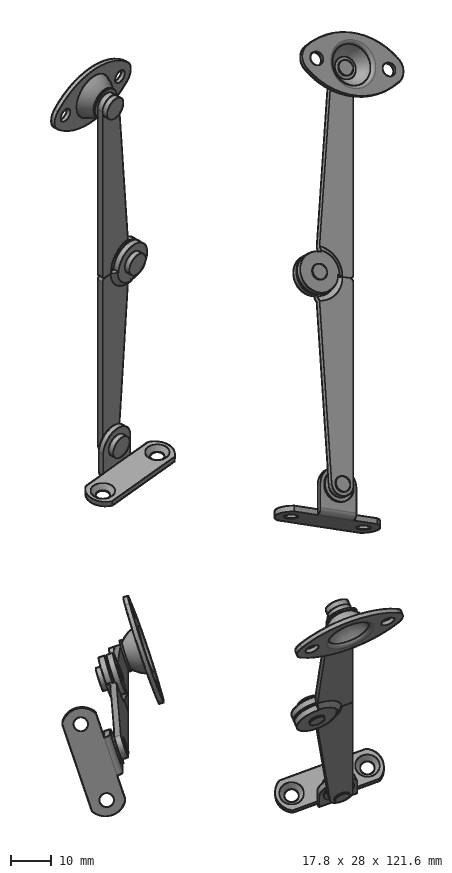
import cadquery as cq
import math


pivot_pitch = 53.0
bottom_pivot_z = 7.6
knuckle_z = bottom_pivot_z + pivot_pitch
top_pivot_z = knuckle_z + pivot_pitch
knuckle_y = 7.0

rivet_radius = 2.0
rivet_tip = 0.4
rivet_head_radius = 3.0
rivet_head_thickness = 1.5
washer_radius = 4.0
washer_thickness = 0.5

plate_thickness = 1.2
plate_half_height = 8.0
plate_end_radius = 4.0
plate_hole_radius = 1.75
screw_offset = 10.0
bowl_depth = 5.0
bowl_rim_radius = 6.0
bowl_floor_radius = 3.5
bowl_hollow_floor_radius = 2.9
bowl_bulge = 0.3
bowl_wall = 1.0
bowl_floor_x = bowl_depth - bowl_wall
bowl_mouth_radius = 6.2
bowl_entry_radius = 0.9

arm_thickness = 1.6
arm_end_radius = 3.0
arm_knuckle_edge_y = 6.85
arm_corner_radius = 0.9
lug_radius = 5.25
lug_flat_radius = 5.6
joggle_radius = 7.0

bracket_thickness = 1.5
bracket_leg_radius = 5.0
flange_end_x = 17.8
flange_half_length = 14.0
flange_end_radius = 5.0
flange_hole_radius = 1.75
countersink_radius = 3.0
countersink_angle = 90

arm_x = bowl_depth + washer_thickness
arm_far_x = arm_x + arm_thickness
bracket_x = arm_far_x + washer_thickness
bracket_far_x = bracket_x + bracket_thickness
joggle_offset = (arm_thickness + washer_thickness) / 2
left_lug_x = arm_x - joggle_offset
right_lug_x = arm_x + joggle_offset


def disc(radius, x_start, x_end, y, z):
    """Cylinder along X between two X positions."""
    return cq.Workplane("YZ", origin=(x_start, y, z)).circle(radius).extrude(x_end - x_start)


def make_washer(x_start, y, z):
    """Flat ring around a rivet shank."""
    washer = disc(washer_radius, x_start, x_start + washer_thickness, y, z)
    return washer.cut(disc(rivet_radius, x_start, x_start + washer_thickness, y, z))


def make_rivet(grip_start, grip_end, y, z):
    """Shank with a short tip on the -X side and a head on the +X side of the grip."""
    shank = disc(rivet_radius, grip_start - rivet_tip, grip_end, y, z)
    head = disc(rivet_head_radius, grip_end, grip_end + rivet_head_thickness, y, z)
    return shank.union(head)


def revolve_about_pivot(profile, y, z):
    """Revolve an (x, radius) profile about the X axis and move it to a pivot."""
    return profile.close().revolve(360, (0, 0, 0), (1, 0, 0)).translate((0, y, z))


def bowl_wall_middle(rim, floor):
    """Middle point of the slightly bulging wall between rim and floor."""
    return ((rim[0] + floor[0] + bowl_bulge) / 2, (rim[1] + floor[1]) / 2 + bowl_bulge)


def make_bowl():
    """Solid bowl standing on the +X side of the oval plate."""
    rim = (plate_thickness, bowl_rim_radius)
    floor = (bowl_depth, bowl_floor_radius)
    profile = (
        cq.Workplane("XY").lineTo(0, bowl_rim_radius).lineTo(*rim)
        .threePointArc(bowl_wall_middle(rim, floor), floor).lineTo(bowl_depth, 0)
    )
    return revolve_about_pivot(profile, 0, top_pivot_z)


def make_bowl_hollow():
    """Space inside the bowl, with a rounded entry at the plate face."""
    rim = (bowl_entry_radius, bowl_mouth_radius - bowl_entry_radius)
    floor = (bowl_floor_x, bowl_hollow_floor_radius)
    profile = (
        cq.Workplane("XY").lineTo(0, bowl_mouth_radius).radiusArc(rim, -bowl_entry_radius)
        .threePointArc(bowl_wall_middle(rim, floor), floor).lineTo(bowl_floor_x, 0)
    )
    return revolve_about_pivot(profile, 0, top_pivot_z)


def make_plate():
    """Oval screw plate with the rivet seated in its pressed bowl."""
    side_radius = (screw_offset**2 + plate_half_height**2 - plate_end_radius**2) / (
        2 * (plate_half_height - plate_end_radius)
    )
    side_centre_z = plate_half_height - side_radius
    stretch = side_radius / (side_radius - plate_end_radius)
    tangent_y = screw_offset * stretch
    tangent_z = side_centre_z * (1 - stretch)
    end_y = screw_offset + plate_end_radius
    plate = (
        cq.Workplane("YZ", origin=(0, 0, top_pivot_z))
        .moveTo(-tangent_y, tangent_z)
        .threePointArc((0, plate_half_height), (tangent_y, tangent_z))
        .threePointArc((end_y, 0), (tangent_y, -tangent_z))
        .threePointArc((0, -plate_half_height), (-tangent_y, -tangent_z))
        .threePointArc((-end_y, 0), (-tangent_y, tangent_z))
        .close()
        .extrude(plate_thickness)
    )
    plate = plate.union(make_bowl()).cut(make_bowl_hollow())
    for y in (-screw_offset, screw_offset):
        plate = plate.cut(disc(plate_hole_radius, 0, plate_thickness, y, top_pivot_z))
    return plate.cut(disc(rivet_radius, 0, bowl_depth, 0, top_pivot_z))


def make_arm(end_z, lug_x):
    """Flat tapered arm from its end pivot to the knuckle, with a lug joggled to lug_x."""
    reach = abs(end_z - knuckle_z)
    corner_distance = math.hypot(arm_knuckle_edge_y, reach)
    angle = math.atan2(-reach, arm_knuckle_edge_y) + math.acos(arm_end_radius / corner_distance)
    tangent_y = arm_end_radius * math.cos(angle)
    tangent_z = reach + arm_end_radius * math.sin(angle)

    def outline(x_start, x_end):
        """Arm blank between two X positions, its square knuckle end at the knuckle pivot height."""
        blank = (
            cq.Workplane("YZ", origin=(x_start, 0, 0))
            .moveTo(arm_knuckle_edge_y, 0)
            .lineTo(tangent_y, tangent_z)
            .threePointArc((0, reach + arm_end_radius), (-arm_end_radius, reach))
            .lineTo(-arm_end_radius, arm_corner_radius)
            .radiusArc((-arm_end_radius + arm_corner_radius, 0), -arm_corner_radius)
            .close()
            .extrude(x_end - x_start)
        )
        if end_z < knuckle_z:
            blank = blank.mirror("XY")
        return blank.translate((0, 0, knuckle_z))

    lug_far_x = lug_x + arm_thickness
    joggle = revolve_about_pivot(
        cq.Workplane("XY").moveTo(lug_x, 0).lineTo(lug_x, lug_flat_radius)
        .lineTo(arm_x, joggle_radius).lineTo(arm_far_x, joggle_radius)
        .lineTo(lug_far_x, lug_flat_radius).lineTo(lug_far_x, 0),
        knuckle_y, knuckle_z,
    )
    joggle = joggle.intersect(outline(left_lug_x, right_lug_x + arm_thickness))
    flat = outline(arm_x, arm_far_x).cut(disc(joggle_radius, arm_x, arm_far_x, knuckle_y, knuckle_z))
    lug = disc(lug_radius, lug_x, lug_far_x, knuckle_y, knuckle_z)
    arm = flat.union(joggle).union(lug)
    arm = arm.cut(disc(rivet_radius, lug_x, lug_far_x, knuckle_y, knuckle_z))
    return arm.cut(disc(rivet_radius, arm_x, arm_far_x, 0, end_z))


def make_bracket():
    """Angle bracket: an upright leg with a rounded top and a flange with two countersunk holes."""
    leg = (
        cq.Workplane("YZ", origin=(bracket_x, 0, 0))
        .moveTo(-bracket_leg_radius, 0)
        .lineTo(-bracket_leg_radius, bottom_pivot_z)
        .threePointArc((0, bottom_pivot_z + bracket_leg_radius), (bracket_leg_radius, bottom_pivot_z))
        .lineTo(bracket_leg_radius, 0)
        .close()
        .extrude(bracket_thickness)
    )
    leg = leg.cut(disc(rivet_radius, bracket_x, bracket_far_x, 0, bottom_pivot_z))
    half_width = (flange_end_x - bracket_far_x) / 2
    middle_x = bracket_far_x + half_width
    side_y = flange_half_length - flange_end_radius + math.sqrt(flange_end_radius**2 - half_width**2)
    flange = (
        cq.Workplane("XY")
        .moveTo(bracket_far_x, -side_y)
        .threePointArc((middle_x, -flange_half_length), (flange_end_x, -side_y))
        .lineTo(flange_end_x, side_y)
        .threePointArc((middle_x, flange_half_length), (bracket_far_x, side_y))
        .close()
        .extrude(bracket_thickness)
        .faces(">Z")
        .workplane(origin=(0, 0, bracket_thickness))
        .pushPoints([(middle_x, -screw_offset), (middle_x, screw_offset)])
        .cskHole(2 * flange_hole_radius, 2 * countersink_radius, countersink_angle)
    )
    return leg.union(flange).edges("|Y and <X and <Z").fillet(bracket_thickness)


plate = make_plate()
upper_arm = make_arm(top_pivot_z, left_lug_x)
lower_arm = make_arm(bottom_pivot_z, right_lug_x)
bracket = make_bracket()

joints = [
    (bowl_floor_x, arm_far_x, bowl_depth, 0, top_pivot_z),
    (left_lug_x, right_lug_x + arm_thickness, left_lug_x + arm_thickness, knuckle_y, knuckle_z),
    (arm_x, bracket_far_x, arm_far_x, 0, bottom_pivot_z),
]
rivets = []
washers = []
for grip_start, grip_end, washer_x, y, z in joints:
    rivets.append(make_rivet(grip_start, grip_end, y, z).val())
    washers.append(make_washer(washer_x, y, z).val())

result = cq.Compound.makeCompound(
    [plate.val(), upper_arm.val(), lower_arm.val(), bracket.val(), *rivets, *washers]
)